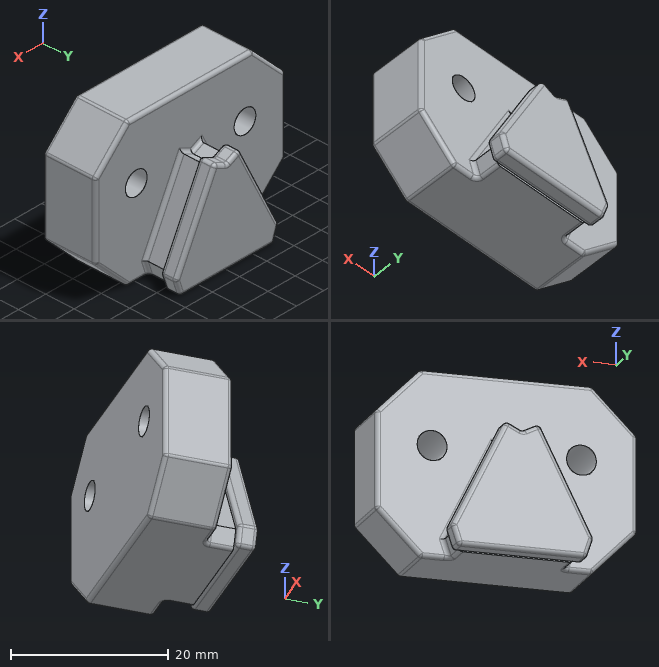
import cadquery as cq

plate_width = 35.0
plate_height = 25.0
plate_depth = 9.28
plate_corner = 6.0
edge_radius = 0.6

hole_diameter = 4.0
hole_spacing = 20.02
hole_above_bottom = 14.98

total_depth = 15.8
head_depth = 2.75
head_overhang = 1.0
neck_half_width = 8.4
neck_widest_level = 2.62
neck_lower_inset = 0.88
neck_peak_offset = 1.82
neck_peak_level = 15.82
notch_depth = 0.88

head_start = total_depth - head_depth
plate_bottom = -plate_height / 2


def heart_prism(start, end, overhang=0):
    """Notched heart outline, grown by overhang, from Y = start to end and flat at the plate bottom."""
    tail_half_width = neck_half_width - 2 * neck_lower_inset
    right_side = [
        (neck_peak_offset, neck_peak_level),
        (neck_half_width, neck_widest_level),
        (tail_half_width, -neck_widest_level),
    ]
    left_side = [(-x, z) for x, z in reversed(right_side)]
    notch = (0, neck_peak_level - notch_depth)
    outline = (
        cq.Workplane("XZ", origin=(0, start, plate_bottom))
        .polyline([notch] + right_side + left_side)
        .close()
    )
    if overhang:
        outline = outline.offset2D(overhang, "intersection")
    prism = outline.extrude(start - end)
    above_bottom = cq.Workplane("XY").box(plate_width, 2 * total_depth, plate_height)
    return prism.intersect(above_bottom)


def plate_with_neck():
    """Plate and neck, rounded on the plate edges, around the neck foot and along the neck bottom."""
    plate = (
        cq.Workplane("XZ")
        .rect(plate_width, plate_height)
        .extrude(-plate_depth)
        .edges("|Y")
        .chamfer(plate_corner)
    )
    body = plate.union(heart_prism(plate_depth, head_start))
    plate_and_foot = cq.selectors.BoxSelector(
        (-plate_width, -edge_radius, -plate_height),
        (plate_width, plate_depth + edge_radius, plate_height),
    )
    bottom_sides = cq.StringSyntaxSelector("|Y and <Z")
    return body.edges(plate_and_foot + bottom_sides).fillet(edge_radius)


def rounded_head():
    head = heart_prism(head_start, total_depth, head_overhang)
    return head.edges().fillet(edge_radius)


def plate_holes():
    return (
        cq.Workplane("XZ", origin=(0, 0, plate_bottom + hole_above_bottom))
        .pushPoints([(-hole_spacing / 2, 0), (hole_spacing / 2, 0)])
        .circle(hole_diameter / 2)
        .extrude(-plate_depth)
    )


result = plate_with_neck().union(rounded_head()).cut(plate_holes()).solids()